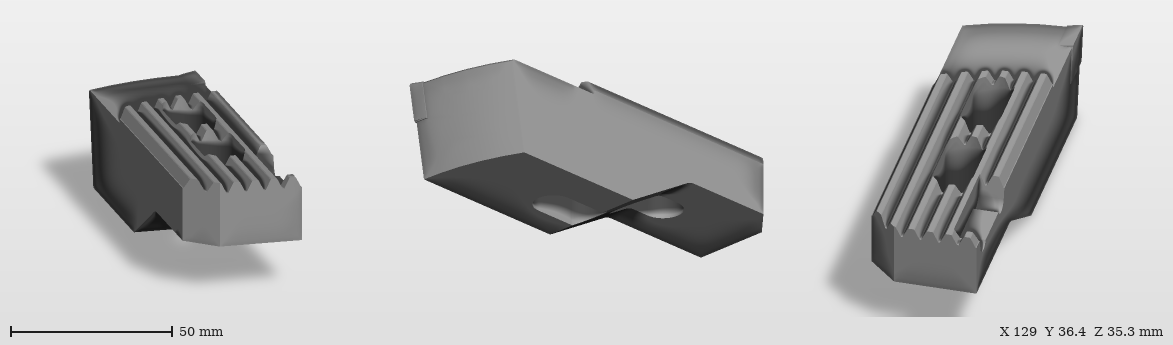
import cadquery as cq
import math


JAW_END = 129.0
JAW_WIDTH = 36.0
JAW_HEIGHT = 35.3
NOSE_TOP = 30.5
RAMP_START = 62.0
RAMP_ANGLE = math.radians(30)
REAR_UNDERSIDE = 14.7
RAMP_BLEND_RADIUS = 6.5
CORNER_CUT_X = 9.0
CORNER_CUT_Y = 9.5

LEAN = math.tan(math.radians(10))
NOSE_SETBACK = 0.6
NOSE_SAG = 7.7
NOSE_BEVEL = 0.8
NOSE_BEVEL_BASE = NOSE_TOP - NOSE_BEVEL
STEP_START = 35.5
STEP_SAG = 9.8
STEP_FOOT_LENGTH = 0.4
STEP_FOOT_TOP = NOSE_TOP + 0.8

TOOTH_COUNT = 6
TOOTH_PITCH = JAW_WIDTH / TOOTH_COUNT
VALLEY_FLOOR = JAW_HEIGHT - 3.5
VALLEY_WIDTH = 0.5
CREST_WIDTH = 2.2
CREST_CHAMFER = 0.3

SLOT_LENGTH = 27.6
SLOT_WIDTH = 13.0
SLOT_Y = 19.9
FIRST_SLOT_X = 54.3
SLOT_SPACING = 34.0
SLOT_COUNT = 2

NOTCH_CENTER_X = 109.9
NOTCH_DEPTH_Y = 8.1
NOTCH_FLOOR = 27.5
NOTCH_FLOOR_HALF = 7.9
NOTCH_RELIEF_RADIUS = 3.4
NOTCH_RELIEF_ANGLE = math.radians(65)
NOTCH_WALL_ANGLE = math.radians(77)

SIDE_OVERHANG = 0.4
INSERT_LENGTH = 12.4
INSERT_WIDTH = 4.9
INSERT_RISE = 0.8
INSERT_TOP = NOSE_TOP + INSERT_RISE
INSERT_BOTTOM = 18.8
INSERT_SKEW = 0.5
INSERT_BEVEL_LENGTH = 0.5
INSERT_BEVEL_HEIGHT = 0.8
CUTTING_EDGE_Z = INSERT_TOP - INSERT_BEVEL_HEIGHT
SHIM_THICKNESS = 0.4
SHIM_SETBACK = 0.4
SHIM_BOTTOM = INSERT_BOTTOM - SHIM_THICKNESS
INSERT_OUTER_Y = JAW_WIDTH + SIDE_OVERHANG
INSERT_INNER_Y = INSERT_OUTER_Y - INSERT_WIDTH


def extrude_along_y(outline, y_start, length):
    """Extrude an outline drawn on the XZ plane from y_start toward +Y."""
    return outline.extrude(-length).translate((0, y_start, 0))


def leaning_x(x_at_edge, z):
    """X at height z of a line that leans with the nose and passes x_at_edge at the cutting edge."""
    return x_at_edge + LEAN * (CUTTING_EDGE_Z - z)


def jaw_outline(front_x, sag, z):
    """Plan outline at height z; its front arc starts square to the +Y side and sweeps rearward."""
    radius = (JAW_WIDTH ** 2 + sag ** 2) / (2 * sag)
    half_width = JAW_WIDTH / 2
    middle_sag = radius - math.sqrt(radius ** 2 - half_width ** 2)
    return (
        cq.Workplane("XY", origin=(0, 0, z))
        .moveTo(JAW_END, JAW_WIDTH)
        .lineTo(front_x, JAW_WIDTH)
        .threePointArc((front_x + middle_sag, half_width), (front_x + sag, 0))
        .lineTo(JAW_END, 0)
        .close()
        .val()
    )


def jaw_layer(lower_x, lower_z, upper_x, upper_z, sag):
    """Slab whose curved front face runs straight from the lower arc to the upper one."""
    outlines = [jaw_outline(lower_x, sag, lower_z), jaw_outline(upper_x, sag, upper_z)]
    return cq.Workplane(cq.Solid.makeLoft(outlines, True))


def make_jaw_blank():
    nose_base_x = leaning_x(NOSE_SETBACK, 0)
    nose_edge_x = leaning_x(NOSE_SETBACK, NOSE_BEVEL_BASE)
    nose = jaw_layer(nose_base_x, 0, nose_edge_x, NOSE_BEVEL_BASE, NOSE_SAG)
    bevel = jaw_layer(nose_edge_x, NOSE_BEVEL_BASE, nose_edge_x + NOSE_BEVEL, NOSE_TOP, NOSE_SAG)
    foot = jaw_layer(STEP_START - STEP_FOOT_LENGTH, NOSE_TOP, STEP_START, STEP_FOOT_TOP, STEP_SAG)
    tooth_block = jaw_layer(STEP_START, STEP_FOOT_TOP, STEP_START, JAW_HEIGHT, STEP_SAG)
    return nose.union(bevel).union(foot).union(tooth_block)


def make_valley(center_y):
    """Cutter for the groove between two teeth, including the crest chamfers on both sides."""
    floor_half = VALLEY_WIDTH / 2
    chamfer_half = (TOOTH_PITCH - CREST_WIDTH) / 2
    top_half = chamfer_half + CREST_CHAMFER
    chamfer_z = JAW_HEIGHT - CREST_CHAMFER
    return (
        cq.Workplane("YZ")
        .moveTo(center_y - floor_half, VALLEY_FLOOR)
        .lineTo(center_y + floor_half, VALLEY_FLOOR)
        .lineTo(center_y + chamfer_half, chamfer_z)
        .lineTo(center_y + top_half, JAW_HEIGHT)
        .lineTo(center_y - top_half, JAW_HEIGHT)
        .lineTo(center_y - chamfer_half, chamfer_z)
        .close()
        .extrude(JAW_END)
    )


def make_rear_relief():
    """Cutter that thins the rear of the jaw, with a ramp and a blended corner."""
    ramp_end = RAMP_START + REAR_UNDERSIDE / math.tan(RAMP_ANGLE)
    blend_run = RAMP_BLEND_RADIUS * math.tan(RAMP_ANGLE / 2)
    blend_start = (
        ramp_end - blend_run * math.cos(RAMP_ANGLE),
        REAR_UNDERSIDE - blend_run * math.sin(RAMP_ANGLE),
    )
    outline = (
        cq.Workplane("XZ")
        .moveTo(RAMP_START, 0)
        .lineTo(*blend_start)
        .tangentArcPoint((ramp_end + blend_run, REAR_UNDERSIDE), relative=False)
        .lineTo(JAW_END, REAR_UNDERSIDE)
        .lineTo(JAW_END, 0)
        .close()
    )
    return extrude_along_y(outline, 0, JAW_WIDTH)


def make_corner_cut():
    return (
        cq.Workplane("XY")
        .moveTo(JAW_END - CORNER_CUT_X, 0)
        .lineTo(JAW_END, 0)
        .lineTo(JAW_END, CORNER_CUT_Y)
        .close()
        .extrude(JAW_HEIGHT)
    )


def make_slots():
    centers = [(FIRST_SLOT_X + i * SLOT_SPACING, SLOT_Y) for i in range(SLOT_COUNT)]
    return cq.Workplane("XY").pushPoints(centers).slot2D(SLOT_LENGTH, SLOT_WIDTH).extrude(JAW_HEIGHT)


def make_notch():
    """Cutter with sloping end walls, a flat floor and a rounded trough at each end of it."""
    relief_x = NOTCH_FLOOR_HALF + NOTCH_RELIEF_RADIUS * math.sin(NOTCH_RELIEF_ANGLE)
    relief_z = NOTCH_FLOOR + NOTCH_RELIEF_RADIUS * math.cos(NOTCH_RELIEF_ANGLE)
    trough_z = relief_z - NOTCH_RELIEF_RADIUS
    wall_x = relief_x + NOTCH_RELIEF_RADIUS * math.sin(NOTCH_WALL_ANGLE)
    wall_z = relief_z - NOTCH_RELIEF_RADIUS * math.cos(NOTCH_WALL_ANGLE)
    top_x = wall_x + (JAW_HEIGHT - wall_z) / math.tan(NOTCH_WALL_ANGLE)
    outline = (
        cq.Workplane("XZ", origin=(NOTCH_CENTER_X, 0, 0))
        .moveTo(-top_x, JAW_HEIGHT)
        .lineTo(-wall_x, wall_z)
        .threePointArc((-relief_x, trough_z), (-NOTCH_FLOOR_HALF, NOTCH_FLOOR))
        .lineTo(NOTCH_FLOOR_HALF, NOTCH_FLOOR)
        .threePointArc((relief_x, trough_z), (wall_x, wall_z))
        .lineTo(top_x, JAW_HEIGHT)
        .close()
    )
    return extrude_along_y(outline, JAW_WIDTH - NOTCH_DEPTH_Y, NOTCH_DEPTH_Y)


def make_jaw(insert, shim):
    jaw = make_jaw_blank()
    for i in range(TOOTH_COUNT + 1):
        jaw = jaw.cut(make_valley(i * TOOTH_PITCH))
    jaw = jaw.cut(make_rear_relief()).cut(make_corner_cut()).cut(make_slots()).cut(make_notch())
    return jaw.cut(insert).cut(shim).solids()


def insert_outline(y, edge_x, top_z):
    """Side outline of the insert at y: a leaning block with a bevelled cutting edge."""
    edge_z = top_z - INSERT_BEVEL_HEIGHT
    corners = [
        (edge_x + INSERT_BEVEL_LENGTH, top_z),
        (leaning_x(edge_x, edge_z), edge_z),
        (leaning_x(edge_x, INSERT_BOTTOM), INSERT_BOTTOM),
        (leaning_x(INSERT_LENGTH, INSERT_BOTTOM), INSERT_BOTTOM),
        (leaning_x(INSERT_LENGTH, top_z), top_z),
    ]
    return cq.Wire.makePolygon([cq.Vector(x, y, z) for x, z in corners], close=True)


def make_insert():
    """Insert whose top falls toward -Y and whose front face is slightly skewed."""
    outer = insert_outline(INSERT_OUTER_Y, 0, INSERT_TOP)
    inner = insert_outline(INSERT_INNER_Y, INSERT_SKEW, NOSE_TOP)
    return cq.Workplane(cq.Solid.makeLoft([outer, inner], True))


def make_shim():
    """L-shaped layer of even thickness below and behind the insert."""
    shim_back = INSERT_LENGTH + SHIM_THICKNESS
    outline = (
        cq.Workplane("XZ")
        .moveTo(leaning_x(SHIM_SETBACK, INSERT_BOTTOM), INSERT_BOTTOM)
        .lineTo(leaning_x(SHIM_SETBACK, SHIM_BOTTOM), SHIM_BOTTOM)
        .lineTo(leaning_x(shim_back, SHIM_BOTTOM), SHIM_BOTTOM)
        .lineTo(leaning_x(shim_back, NOSE_TOP), NOSE_TOP)
        .lineTo(leaning_x(INSERT_LENGTH, NOSE_TOP), NOSE_TOP)
        .lineTo(leaning_x(INSERT_LENGTH, INSERT_BOTTOM), INSERT_BOTTOM)
        .close()
    )
    return extrude_along_y(outline, INSERT_INNER_Y, INSERT_WIDTH)


insert = make_insert()
shim = make_shim()
jaw = make_jaw(insert, shim)

result = cq.Compound.makeCompound([jaw.val(), insert.val(), shim.val()])